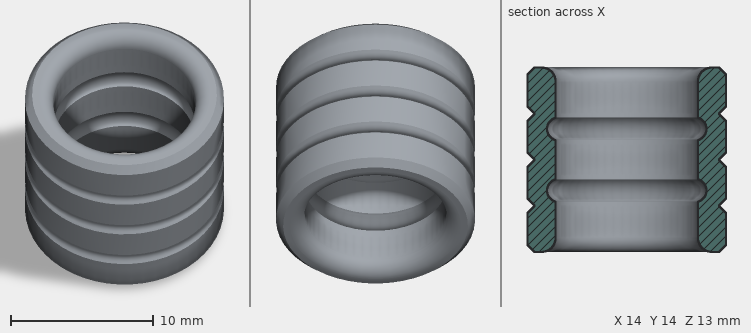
import cadquery as cq

outer_diameter = 14.0
bore_diameter = 10.0
height = 13.0

ring_count = 4
ring_chamfer = 0.5

mouth_fillet = 1.0

bore_groove_count = 2
bore_groove_radius = 0.8
bore_groove_depth = 0.6

outer_radius = outer_diameter / 2
bore_radius = bore_diameter / 2
ring_height = height / ring_count
bore_groove_spacing = height / (bore_groove_count + 1)


def chamfered_ring(base_z):
    """Solid disc with both rims chamfered, standing on base_z."""
    disc = cq.Workplane("XY").workplane(offset=base_z).circle(outer_radius).extrude(ring_height)
    return disc.faces("<Z or >Z").chamfer(ring_chamfer)


def stacked_rings():
    """Solid column of identical chamfered rings."""
    column = chamfered_ring(0)
    for index in range(1, ring_count):
        column = column.union(chamfered_ring(index * ring_height))
    return column


def bored_with_rounded_mouths(body):
    """Cut the through bore and round its rim at both ends."""
    bore = cq.Workplane("XY").circle(bore_radius).extrude(height)
    smallest_circles = cq.selectors.RadiusNthSelector(0)
    return body.cut(bore).edges(smallest_circles).fillet(mouth_fillet)


def bore_groove_cutter(center_z):
    """Half-round section, flat side toward the axis, revolved about Z."""
    groove_bottom_radius = bore_radius + bore_groove_depth
    arc_center_radius = groove_bottom_radius - bore_groove_radius
    section = (
        cq.Workplane("XZ")
        .moveTo(arc_center_radius, center_z - bore_groove_radius)
        .threePointArc(
            (groove_bottom_radius, center_z),
            (arc_center_radius, center_z + bore_groove_radius),
        )
        .close()
    )
    return section.revolve(360, (0, 0), (0, 1))


result = bored_with_rounded_mouths(stacked_rings())
for groove_number in range(1, bore_groove_count + 1):
    result = result.cut(bore_groove_cutter(groove_number * bore_groove_spacing))